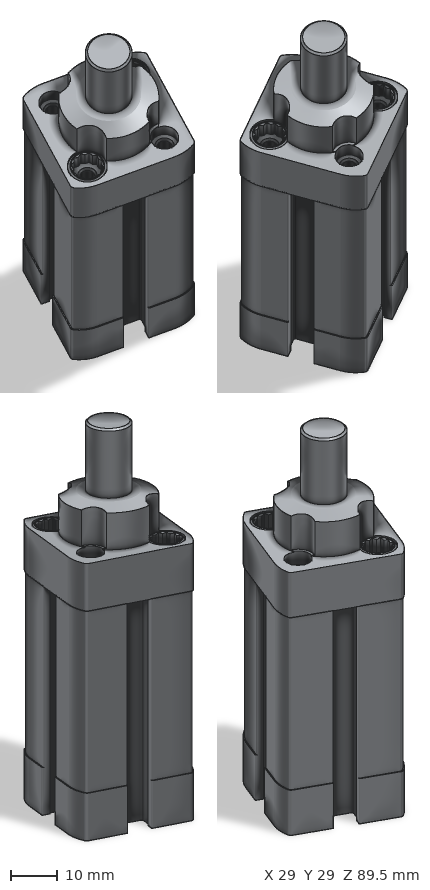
import cadquery as cq
import math

AXIS = (0, 0)

BASE_TOP = 11.0
TUBE_TOP = 53.0
HEAD_TOP = 64.0
COLLAR_RIM = 72.5
COLLAR_TOP = 73.6
ROD_TOP = 89.5

CAP_WIDTH = 29.0
TUBE_INSET = 0.3
SIDE_FLAT_HALF = 9.0
CORNER_ARC_RADIUS = 9.7
CORNER_BLEND_RADIUS = 1.0

SLOT_MOUTH_WIDTH = 5.8
SLOT_CAVITY_WIDTH = 6.8
SLOT_FLOOR = 9.2
SLOT_SHOULDER = 12.6
SLOT_FLOOR_FILLET = 0.5
SLOT_LIP_ROUND = 0.2

COLLAR_DIAMETER = 21.5
COLLAR_FLAT_DIAMETER = 14.0
PLAIN_NOTCH_DIAMETER = 7.4
PLAIN_NOTCH_LEDGE = 0.3

HOLE_OFFSET = 9.0
HOLE_DIAMETER = 3.2
HOLE_CHAMFER_DIAMETER = 4.1
COUNTERBORE_DIAMETER = 6.0
COUNTERBORE_DEPTH = 3.0

HEXAGON_SIDES = 6
SOCKET_ACROSS_FLATS = 6.0
SOCKET_DEPTH = 3.6
SOCKET_CHAMFER_DIAMETER = 7.1
SOCKET_CHAMFER_DEPTH = 0.4
BUSH_DIAMETER = 8.5
BUSH_CREST_DIAMETER = 7.4
BUSH_BEVEL_DEPTH = 0.5

PLAIN_HOLES = [(-HOLE_OFFSET, -HOLE_OFFSET), (HOLE_OFFSET, HOLE_OFFSET)]
SOCKET_HOLES = [(-HOLE_OFFSET, HOLE_OFFSET), (HOLE_OFFSET, -HOLE_OFFSET)]

ROD_DIAMETER = 10.0
ROD_TIP_DIAMETER = 9.0
ROD_CHAMFER_HEIGHT = 0.45
ROD_BOTTOM = TUBE_TOP


def cylinder(center, diameter, bottom, top):
    return cq.Workplane().workplane(offset=bottom).center(*center).circle(diameter / 2).extrude(top - bottom)


def cone(center, bottom_diameter, top_diameter, bottom, top):
    solid = cq.Solid.makeCone(bottom_diameter / 2, top_diameter / 2, top - bottom)
    return cq.Workplane(solid.translate(cq.Vector(*center, bottom)))


def block(inset, bottom, top):
    """Square block with large corner arcs that run off the X sides and blend into the Y sides."""
    half = CAP_WIDTH / 2 - inset
    radius = CORNER_ARC_RADIUS - inset
    rise = half - SIDE_FLAT_HALF
    corner_x = half - radius + math.sqrt(radius**2 - rise**2)
    middle_angle = math.asin(rise / radius) / 2
    middle_x = half - radius + radius * math.cos(middle_angle)
    middle_y = SIDE_FLAT_HALF + radius * math.sin(middle_angle)
    outline = (
        cq.Workplane()
        .workplane(offset=bottom)
        .moveTo(half, -SIDE_FLAT_HALF)
        .lineTo(half, SIDE_FLAT_HALF)
        .threePointArc((middle_x, middle_y), (corner_x, half))
        .lineTo(-corner_x, half)
        .threePointArc((-middle_x, middle_y), (-half, SIDE_FLAT_HALF))
        .lineTo(-half, -SIDE_FLAT_HALF)
        .threePointArc((-middle_x, -middle_y), (-corner_x, -half))
        .lineTo(corner_x, -half)
        .threePointArc((middle_x, -middle_y), (half, -SIDE_FLAT_HALF))
        .close()
    )
    sharp_corners = outline.extrude(top - bottom).edges("|Z").edges(">Y or <Y")
    return sharp_corners.fillet(CORNER_BLEND_RADIUS - inset)


def slot(inset, bottom, top):
    """Undercut slot in the +X side, with a rounded floor and a mouth flared by the lip rounds."""
    height = top - bottom
    cavity_middle = (SLOT_FLOOR + SLOT_SHOULDER) / 2
    face = CAP_WIDTH / 2 - inset
    cavity_depth = SLOT_SHOULDER - SLOT_FLOOR
    cavity = (
        cq.Workplane()
        .workplane(offset=bottom)
        .center(cavity_middle, 0)
        .rect(cavity_depth, SLOT_CAVITY_WIDTH)
        .extrude(height)
        .edges("|Z and <X")
        .fillet(SLOT_FLOOR_FILLET)
    )
    mouth_half = SLOT_MOUTH_WIDTH / 2
    flare_half = mouth_half + SLOT_LIP_ROUND
    arc_offset = SLOT_LIP_ROUND * (1 - math.sqrt(0.5))
    mouth = (
        cq.Workplane()
        .workplane(offset=bottom)
        .moveTo(cavity_middle, -mouth_half)
        .lineTo(face - SLOT_LIP_ROUND, -mouth_half)
        .threePointArc((face - arc_offset, -mouth_half - arc_offset), (face, -flare_half))
        .lineTo(face, flare_half)
        .threePointArc((face - arc_offset, mouth_half + arc_offset), (face - SLOT_LIP_ROUND, mouth_half))
        .lineTo(cavity_middle, mouth_half)
        .close()
        .extrude(height)
    )
    return cavity.union(mouth)


def slotted_block(inset, bottom, top):
    solid = block(inset, bottom, top)
    side_slot = slot(inset, bottom, top)
    for angle in (0, 90, 180, 270):
        solid = solid.cut(side_slot.rotate((0, 0, 0), (0, 0, 1), angle))
    return solid


def make_collar():
    """Round collar with a conical top, notched to clear the four corner holes."""
    collar = cylinder(AXIS, COLLAR_DIAMETER, HEAD_TOP, COLLAR_RIM)
    collar = collar.union(cone(AXIS, COLLAR_DIAMETER, COLLAR_FLAT_DIAMETER, COLLAR_RIM, COLLAR_TOP))
    notch_floor = HEAD_TOP + PLAIN_NOTCH_LEDGE
    for center in PLAIN_HOLES:
        collar = collar.cut(cylinder(center, PLAIN_NOTCH_DIAMETER, notch_floor, COLLAR_TOP))
        collar = collar.cut(cylinder(center, COUNTERBORE_DIAMETER, HEAD_TOP, COLLAR_TOP))
    for center in SOCKET_HOLES:
        collar = collar.cut(cylinder(center, BUSH_DIAMETER, HEAD_TOP, COLLAR_TOP))
    return collar


def screw_hole(center, floor):
    """Through hole, chamfered where it opens in the floor of its counterbore or socket."""
    chamfer = (HOLE_CHAMFER_DIAMETER - HOLE_DIAMETER) / 2
    hole = cylinder(center, HOLE_DIAMETER, 0, floor)
    return hole.union(cone(center, HOLE_DIAMETER, HOLE_CHAMFER_DIAMETER, floor - chamfer, floor))


def plain_hole(center):
    floor = HEAD_TOP - COUNTERBORE_DEPTH
    return screw_hole(center, floor).union(cylinder(center, COUNTERBORE_DIAMETER, floor, HEAD_TOP))


def socket_hole(center):
    """Screw hole under a twelve-point socket: two hexagons a twelfth of a turn apart, chamfered on top."""
    floor = HEAD_TOP - SOCKET_DEPTH
    hole = screw_hole(center, floor)
    hexagon = (
        cq.Workplane()
        .workplane(offset=floor)
        .center(*center)
        .polygon(HEXAGON_SIDES, SOCKET_ACROSS_FLATS, circumscribed=True)
        .extrude(SOCKET_DEPTH)
    )
    hole = hole.union(hexagon)
    hole = hole.union(hexagon.rotate((*center, 0), (*center, 1), 180 / HEXAGON_SIDES))
    chamfer_bottom = HEAD_TOP - SOCKET_CHAMFER_DEPTH
    return hole.union(cone(center, SOCKET_ACROSS_FLATS, SOCKET_CHAMFER_DIAMETER, chamfer_bottom, HEAD_TOP))


def bevel_groove(center):
    """V-shaped ring around a socket, between a straight outer wall and the bevelled bush."""
    bottom = HEAD_TOP - BUSH_BEVEL_DEPTH
    groove = cylinder(center, BUSH_DIAMETER, bottom, HEAD_TOP)
    return groove.cut(cone(center, BUSH_DIAMETER, BUSH_CREST_DIAMETER, bottom, HEAD_TOP))


def make_housing():
    housing = slotted_block(0, 0, BASE_TOP)
    housing = housing.union(slotted_block(TUBE_INSET, BASE_TOP, TUBE_TOP))
    housing = housing.union(block(0, TUBE_TOP, HEAD_TOP))
    housing = housing.union(make_collar())
    for center in PLAIN_HOLES:
        housing = housing.cut(plain_hole(center))
    for center in SOCKET_HOLES:
        housing = housing.cut(socket_hole(center)).cut(bevel_groove(center))
    return housing.cut(cylinder(AXIS, ROD_DIAMETER, ROD_BOTTOM, COLLAR_TOP))


def make_rod():
    shoulder = ROD_TOP - ROD_CHAMFER_HEIGHT
    rod = cylinder(AXIS, ROD_DIAMETER, ROD_BOTTOM, shoulder)
    return rod.union(cone(AXIS, ROD_DIAMETER, ROD_TIP_DIAMETER, shoulder, ROD_TOP))


housing = make_housing()
rod = make_rod()
result = cq.Compound.makeCompound([housing.solids().val(), rod.solids().val()])